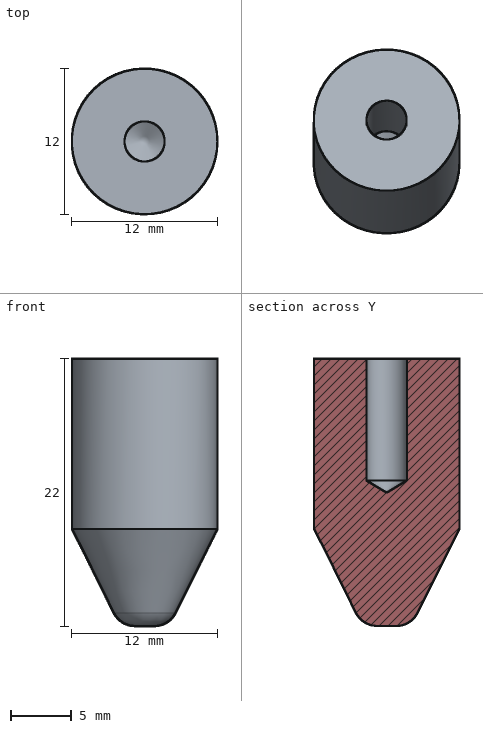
import cadquery as cq
import math

total_length = 22.0
body_diameter = 12.0
body_length = 14.0
tip_flat_diameter = 4.0
tip_rounding = 2.0
hole_diameter = 3.3
hole_depth = 10.0
drill_point_angle = 118.0

body_radius = body_diameter / 2
cone_length = total_length - body_length
hole_radius = hole_diameter / 2
drill_point_length = hole_radius / math.tan(math.radians(drill_point_angle / 2))


def pin_body():
    """Cylinder tapering down to a rounded tip, standing on Z = 0."""
    return (
        cq.Workplane("XZ")
        .lineTo(tip_flat_diameter / 2, 0)
        .lineTo(body_radius, cone_length)
        .lineTo(body_radius, total_length)
        .lineTo(0, total_length)
        .close()
        .revolve(360, (0, 0), (0, 1))
        .faces("<Z")
        .edges()
        .fillet(tip_rounding)
    )


def drilled_hole():
    """Blind hole from the top face, ending in a conical drill point."""
    hole_floor = total_length - hole_depth
    return (
        cq.Workplane("XZ")
        .moveTo(0, total_length)
        .lineTo(hole_radius, total_length)
        .lineTo(hole_radius, hole_floor)
        .lineTo(0, hole_floor - drill_point_length)
        .close()
        .revolve(360, (0, 0), (0, 1))
    )


result = pin_body().cut(drilled_hole())